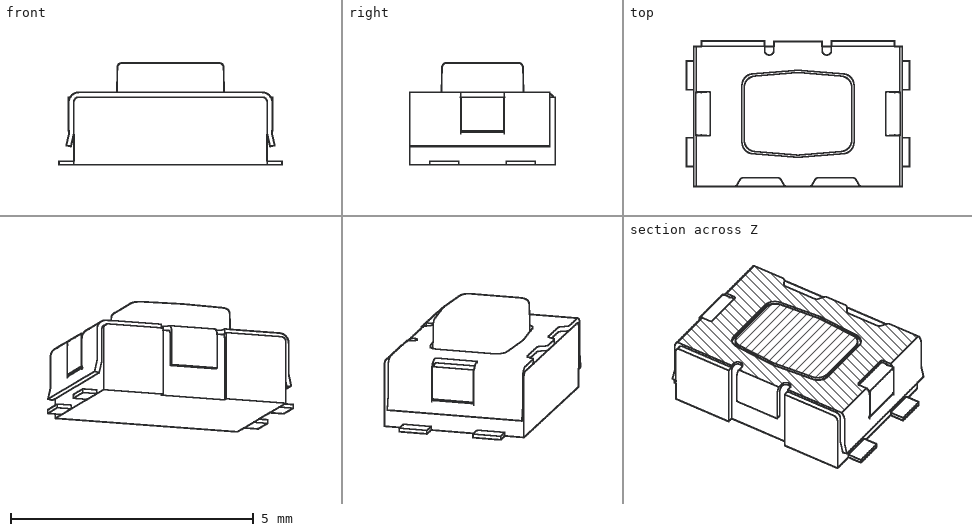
import cadquery as cq
import math

housing_half_width = 1.99
housing_half_depth = 1.5
housing_height = 1.395
corner_radius = 0.1

sheet = 0.1
cover_half_width = housing_half_width + sheet
cover_top = housing_height + sheet
bend_radius = corner_radius + sheet
cover_back = 1.39
flare_start = 0.64
flare_length = 0.25
flare_angle = math.radians(13)

tab_half_width = 0.495
tab_bottom = flare_start
slot_width = 0.195
slot_end = 1.21
recess_half_width = tab_half_width + slot_width

catch_reach = 2.1
catch_half_width = 0.44
catch_bottom = 0.7
window_half_width = 0.45
window_inner_x = 1.805
window_bottom = 0.665
window_corner_radius = 0.028

scallop_offset = 0.775
scallop_mouth_half = 0.5
scallop_floor_half = 0.4
scallop_depth = 0.185
scallop_radius = 0.09

button_top = 2.1
button_half_width = 1.11
button_half_depth = 0.85
ridge_drop = 0.09
button_corner_radius = 0.24
ridge_radius = 0.3
button_edge_radius = 0.1
button_draft = 1.2
button_clearance = 0.045

terminal_tip = 2.3
terminal_width = 0.6
terminal_offset = 0.79
terminal_thickness = 0.08


def box(x_range, y_range, z_range):
    """Box between two limits on each axis."""
    size = [high - low for low, high in (x_range, y_range, z_range)]
    corner = (x_range[0], y_range[0], z_range[0])
    return cq.Workplane("XY").box(*size, centered=False).translate(corner)


def mirrored_pair(body):
    """The body together with its mirror image across X = 0."""
    return body.union(body.mirror("YZ"))


def six_sided(base_z, half_width, half_depth):
    """Closed outline with straight sides and slightly peaked front and back."""
    corner_y = half_depth - ridge_drop
    points = [
        (half_width, -corner_y),
        (half_width, corner_y),
        (0, half_depth),
        (-half_width, corner_y),
        (-half_width, -corner_y),
        (0, -half_depth),
    ]
    return cq.Workplane("XY").workplane(offset=base_z).polyline(points).close()


def make_housing():
    body = box(
        (-housing_half_width, housing_half_width),
        (-housing_half_depth, housing_half_depth),
        (0, housing_height),
    )
    body = body.edges("|Y and >Z").fillet(corner_radius)

    recess = box(
        (-recess_half_width, recess_half_width),
        (cover_back - corner_radius, housing_half_depth),
        (0, housing_height),
    )
    rounded_core = box(
        (-recess_half_width, recess_half_width),
        (0, cover_back),
        (0, housing_height),
    ).edges("|X and >Y and >Z").fillet(corner_radius)
    body = body.cut(recess.cut(rounded_core))

    catch = box(
        (window_inner_x, catch_reach),
        (-catch_half_width, catch_half_width),
        (catch_bottom, housing_height),
    )
    return body.union(mirrored_pair(catch))


def cover_shell():
    """Bent sheet: flat top, rounded bends and side walls that splay at the bottom."""
    diagonal = math.sqrt(0.5)
    bend_x = housing_half_width - corner_radius
    bend_z = housing_height - corner_radius
    outer_mid = (bend_x + bend_radius * diagonal, bend_z + bend_radius * diagonal)
    inner_mid = (bend_x + corner_radius * diagonal, bend_z + corner_radius * diagonal)
    tip_x = cover_half_width + flare_length * math.sin(flare_angle)
    tip_z = flare_start - flare_length * math.cos(flare_angle)
    inner_tip = (tip_x - sheet * math.cos(flare_angle), tip_z - sheet * math.sin(flare_angle))
    inner_flare_start = flare_start - sheet * math.tan(flare_angle / 2)

    half_profile = (
        cq.Workplane("XZ", origin=(0, cover_back, 0))
        .moveTo(0, cover_top)
        .lineTo(bend_x, cover_top)
        .threePointArc(outer_mid, (cover_half_width, bend_z))
        .lineTo(cover_half_width, flare_start)
        .lineTo(tip_x, tip_z)
        .lineTo(*inner_tip)
        .lineTo(housing_half_width, inner_flare_start)
        .lineTo(housing_half_width, bend_z)
        .threePointArc(inner_mid, (bend_x, housing_height))
        .lineTo(0, housing_height)
        .close()
    )
    return mirrored_pair(half_profile.extrude(cover_back + housing_half_depth))


def rear_tab():
    """Tab that bends down over the back of the housing."""
    back = cover_back + sheet
    inside = box(
        (-tab_half_width, tab_half_width),
        (0, cover_back),
        (tab_bottom, housing_height),
    ).edges("|X and >Y and >Z").fillet(corner_radius)
    outside = box(
        (-tab_half_width, tab_half_width),
        (0, back),
        (tab_bottom, cover_top),
    ).edges("|X and >Y and >Z").fillet(bend_radius)
    return outside.cut(inside)


def rear_strip():
    """Edge strip of the flat top that the bend of the rear tab replaces."""
    return box(
        (-tab_half_width, tab_half_width),
        (cover_back - corner_radius, cover_back),
        (housing_height, cover_top),
    )


def relief_slots():
    """Round-ended slots that free both sides of the rear tab."""
    slot_radius = slot_width / 2
    slot_x = tab_half_width + slot_radius
    slot = box(
        (tab_half_width, recess_half_width),
        (slot_end + slot_radius, cover_back),
        (housing_height, cover_top),
    )
    round_end = (
        cq.Workplane("XY", origin=(slot_x, slot_end + slot_radius, housing_height))
        .circle(slot_radius)
        .extrude(sheet)
    )
    return mirrored_pair(slot.union(round_end))


def side_window():
    """Window for a catch; below it the sheet's outer face continues the slope of the flare."""
    lip_x = cover_half_width - (window_bottom - flare_start) * math.tan(flare_angle)
    profile = [
        (window_inner_x, cover_top),
        (cover_half_width, cover_top),
        (cover_half_width, flare_start),
        (lip_x, window_bottom),
        (window_inner_x, window_bottom),
    ]
    window = cq.Workplane("XZ", origin=(0, window_half_width, 0)).polyline(profile).close()
    window = window.extrude(2 * window_half_width)
    return window.edges("|Z and <X").fillet(window_corner_radius)


def front_scallop(center_x):
    """Cutter for one scallop, with all four of its corners rounded."""
    front = -housing_half_depth
    floor = front + scallop_depth
    strip_front = front - scallop_depth
    strip_half = scallop_mouth_half + scallop_depth
    points = [
        (center_x - strip_half, strip_front),
        (center_x - strip_half, front),
        (center_x - scallop_mouth_half, front),
        (center_x - scallop_floor_half, floor),
        (center_x + scallop_floor_half, floor),
        (center_x + scallop_mouth_half, front),
        (center_x + strip_half, front),
        (center_x + strip_half, strip_front),
    ]
    cutter = cq.Workplane("XY", origin=(0, 0, housing_height)).polyline(points).close().extrude(sheet)
    return cutter.edges("|Z").edges("not (<X or >X)").fillet(scallop_radius)


def button_opening():
    opening = six_sided(
        housing_height,
        button_half_width + button_clearance,
        button_half_depth + button_clearance,
    ).extrude(sheet)
    opening = opening.edges("|Z and (>X or <X)").fillet(button_corner_radius)
    return opening.edges("|Z and (>Y or <Y)").fillet(ridge_radius)


def make_cover():
    body = cover_shell()
    body = body.cut(rear_strip()).cut(relief_slots()).union(rear_tab())
    body = body.cut(mirrored_pair(side_window()))
    for side in (-1, 1):
        body = body.cut(front_scallop(side * scallop_offset))
    return body.cut(button_opening())


def make_button():
    height = button_top - housing_height
    body = six_sided(housing_height, button_half_width, button_half_depth)
    body = body.extrude(height, taper=button_draft)
    near_ridges = cq.selectors.BoxSelector(
        (-ridge_radius, -housing_half_depth, 0),
        (ridge_radius, housing_half_depth, button_top),
    )
    corners = cq.selectors.InverseSelector(near_ridges)
    body = body.edges("not #Z").edges(corners).fillet(button_corner_radius)
    body = body.faces(">Z").edges().fillet(button_edge_radius)
    return body.edges("not #Z").edges(near_ridges).fillet(ridge_radius)


def make_terminal(side, y):
    plate = box(
        (housing_half_width, terminal_tip),
        (y - terminal_width / 2, y + terminal_width / 2),
        (0, terminal_thickness),
    )
    return plate if side > 0 else plate.mirror("YZ")


housing = make_housing()
cover = make_cover()
button = make_button()
terminals = []
for side in (-1, 1):
    for y in (-terminal_offset, terminal_offset):
        terminals.append(make_terminal(side, y))

bodies = [housing, cover, button, *terminals]
result = cq.Compound.makeCompound([body.solids().val() for body in bodies])